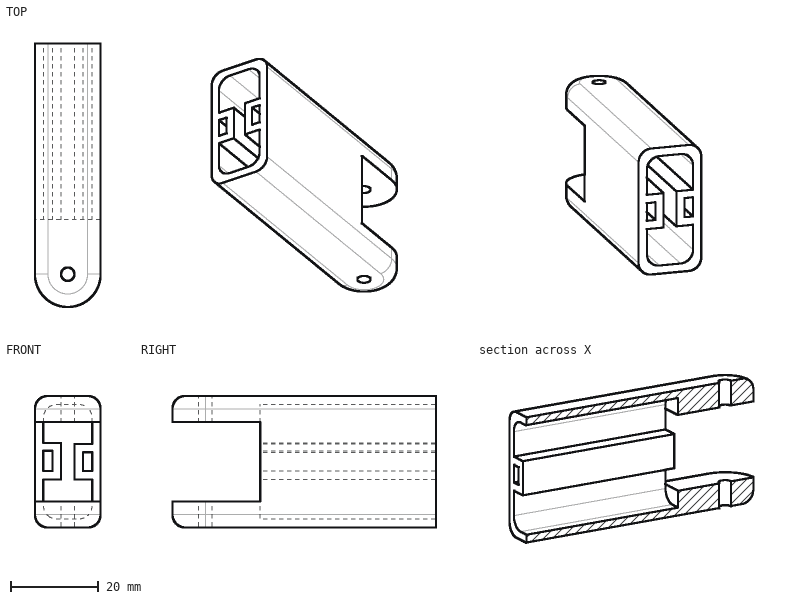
import cadquery as cq
import math

WIDTH = 15.0
LENGTH = 60.0
HEIGHT = 30.0
EDGE_RADIUS = 3.0
NOSE_RADIUS = WIDTH / 2
BACK_Y = LENGTH - NOSE_RADIUS

ARM_THICKNESS = 6.0
GAP_DEPTH = 20.0
GAP_HEIGHT = HEIGHT - 2 * ARM_THICKNESS
GAP_END_Y = GAP_DEPTH - NOSE_RADIUS
PIVOT_DIAMETER = 3.0

WALL = 2.0
CAVITY_WIDTH = WIDTH - 2 * WALL
CAVITY_HEIGHT = HEIGHT - 2 * WALL
CAVITY_RADIUS = 3.0

RAIL_SPACING = 3.0
RAIL_WALL = 2.0
RAIL_BOTTOM = -4.1
SLOT_BOTTOM = RAIL_BOTTOM + RAIL_WALL
LEFT_RAIL_TOP = 4.25
LEFT_SLOT_TOP = 2.45
RIGHT_RAIL_TOP = 4.1
RIGHT_SLOT_TOP = 2.1


def box_between(x_min, x_max, y_min, y_max, z_min, z_max):
    """Box spanning the given limits."""
    size = (x_max - x_min, y_max - y_min, z_max - z_min)
    return cq.Workplane("XY").box(*size, centered=False).translate((x_min, y_min, z_min))


def outer_body():
    """Bar with a round nose and rounded top and bottom edges."""
    half_width = WIDTH / 2
    nose_diagonal = NOSE_RADIUS * math.sqrt(0.5)
    bar = (
        cq.Workplane("XY")
        .moveTo(-half_width, BACK_Y)
        .lineTo(-half_width, 0)
        .threePointArc((-nose_diagonal, -nose_diagonal), (0, -NOSE_RADIUS))
        .threePointArc((nose_diagonal, -nose_diagonal), (half_width, 0))
        .lineTo(half_width, BACK_Y)
        .close()
        .extrude(HEIGHT / 2, both=True)
    )
    return bar.faces("<Z or >Z").edges("not(>Y)").fillet(EDGE_RADIUS)


def cavity():
    """Rounded tunnel from the end of the fork gap to the back."""
    tunnel = box_between(
        -CAVITY_WIDTH / 2, CAVITY_WIDTH / 2,
        GAP_END_Y, BACK_Y,
        -CAVITY_HEIGHT / 2, CAVITY_HEIGHT / 2,
    )
    return tunnel.edges("|Y").fillet(CAVITY_RADIUS)


def rail(side, rail_top, slot_top):
    """Hollow rail on the -X (side = -1) or +X (side = 1) wall."""
    outer_x = side * CAVITY_WIDTH / 2
    inner_x = side * RAIL_SPACING / 2
    slot_x = inner_x + side * RAIL_WALL
    x_min, x_max = sorted((outer_x, inner_x))
    slot_min, slot_max = sorted((outer_x, slot_x))
    block = box_between(x_min, x_max, GAP_END_Y, BACK_Y, RAIL_BOTTOM, rail_top)
    slot = box_between(slot_min, slot_max, GAP_END_Y, BACK_Y, SLOT_BOTTOM, slot_top)
    return block.cut(slot)


fork_gap = box_between(
    -WIDTH / 2, WIDTH / 2,
    -NOSE_RADIUS, GAP_END_Y,
    -GAP_HEIGHT / 2, GAP_HEIGHT / 2,
)
pivot_hole = cq.Workplane("XY").circle(PIVOT_DIAMETER / 2).extrude(HEIGHT / 2, both=True)

result = outer_body().cut(fork_gap).cut(pivot_hole).cut(cavity())
result = result.union(rail(-1, LEFT_RAIL_TOP, LEFT_SLOT_TOP))
result = result.union(rail(1, RIGHT_RAIL_TOP, RIGHT_SLOT_TOP))